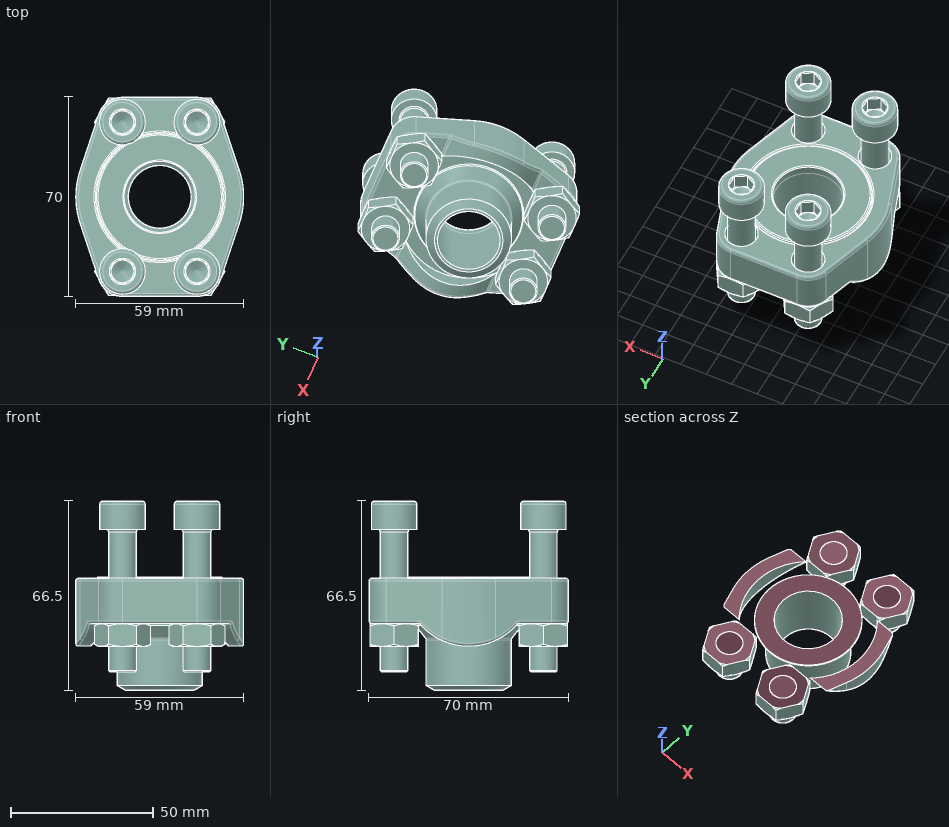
import cadquery as cq
import math

BOLT_SPACING_X = 26.2
BOLT_SPACING_Y = 52.4

FLANGE_LENGTH_Y = 70.0
FLANGE_WIDTH_X = 59.0
FLANGE_TOP_Z = 39.5
PLATE_BOTTOM_Z = 23.45
BULGE_BOTTOM_Z = 15.55
BULGE_DIAMETER = 45.2
FLANGE_EDGE_FILLET = 1.0
COLLAR_RECESS_DIAMETER = 45.2
COLLAR_RECESS_CHAMFER = 0.5
FLANGE_BORE_DIAMETER = 38.5
BULGE_CLEARANCE_DIAMETER = 48.45
BOLT_HOLE_DIAMETER = 11.75

TUBE_TOP_Z = 39.9
COLLAR_DIAMETER = 44.4
COLLAR_HEIGHT = 7.0
COLLAR_CHAMFER = 0.5
HUB_DIAMETER = 37.9
TUBE_DIAMETER = 30.0
SHOULDER_START_Z = 18.1
SHOULDER_END_Z = 22.75
SHOULDER_FILLET = 1.0
TUBE_END_DIAMETER = 24.0
WELD_BEVEL_ANGLE = 30.0
MOUTH_DIAMETER = 25.0
MOUTH_DEPTH = 3.8
MOUTH_CHAMFER = 0.4
TUBE_BORE_DIAMETER = 22.0

SCREW_TOP_Z = 66.5
HEAD_DIAMETER = 16.0
HEAD_HEIGHT = 10.0
HEAD_FILLET = 1.1
NECK_DIAMETER = 10.5
NECK_HEIGHT = 0.9
SHANK_DIAMETER = 9.7
SHANK_LENGTH = 50.0
SHANK_END_CHAMFER = 0.5
SOCKET_ACROSS_FLATS = 8.0
SOCKET_DEPTH = 6.0
SOCKET_CONE_ANGLE = 30.0

NUT_ACROSS_FLATS = 17.0
NUT_HEIGHT = 8.0
NUT_CHAMFER_ANGLE = 30.0

SELECTION_MARGIN = 0.1

HEX_CORNER_RATIO = 1 / math.cos(math.radians(30))
BOLT_CENTRES = [
    (side_x * BOLT_SPACING_X / 2, side_y * BOLT_SPACING_Y / 2)
    for side_x in (-1, 1)
    for side_y in (-1, 1)
]


def disc(diameter, bottom_z, top_z):
    """Solid cylinder on the Z axis between two heights."""
    return cq.Workplane("XY").workplane(offset=bottom_z).circle(diameter / 2).extrude(top_z - bottom_z)


def revolved(points):
    """Solid of revolution about Z from (radius, height) points."""
    return cq.Workplane("XZ").polyline(points).close().revolve(360, (0, 0, 0), (0, 1, 0))


def flange_blank():
    """Plate outline: corner arcs round the bolts, side arcs round the hub, tangent lines between."""
    bolt_x = BOLT_SPACING_X / 2
    bolt_y = BOLT_SPACING_Y / 2
    corner_radius = FLANGE_LENGTH_Y / 2 - bolt_y
    side_radius = FLANGE_WIDTH_X / 2
    bolt_distance = math.hypot(bolt_x, bolt_y)
    bolt_angle = math.atan2(bolt_y, bolt_x)
    normal_angle = bolt_angle - math.acos((side_radius - corner_radius) / bolt_distance)
    corner_mid_angle = (normal_angle + math.pi / 2) / 2

    side_x = side_radius * math.cos(normal_angle)
    side_y = side_radius * math.sin(normal_angle)
    corner_x = bolt_x + corner_radius * math.cos(normal_angle)
    corner_y = bolt_y + corner_radius * math.sin(normal_angle)
    mid_x = bolt_x + corner_radius * math.cos(corner_mid_angle)
    mid_y = bolt_y + corner_radius * math.sin(corner_mid_angle)
    end_y = FLANGE_LENGTH_Y / 2
    return (
        cq.Workplane("XY")
        .workplane(offset=BULGE_BOTTOM_Z)
        .moveTo(side_x, -side_y)
        .threePointArc((side_radius, 0), (side_x, side_y))
        .lineTo(corner_x, corner_y)
        .threePointArc((mid_x, mid_y), (bolt_x, end_y))
        .lineTo(-bolt_x, end_y)
        .threePointArc((-mid_x, mid_y), (-corner_x, corner_y))
        .lineTo(-side_x, side_y)
        .threePointArc((-side_radius, 0), (-side_x, -side_y))
        .lineTo(-corner_x, -corner_y)
        .threePointArc((-mid_x, -mid_y), (-bolt_x, -end_y))
        .lineTo(bolt_x, -end_y)
        .threePointArc((mid_x, -mid_y), (corner_x, -corner_y))
        .close()
        .extrude(FLANGE_TOP_Z - BULGE_BOTTOM_Z)
    )


def flange_envelope():
    """Side profile along X: flat plate with a round bulge below its middle."""
    plate = (
        cq.Workplane("XY")
        .box(2 * FLANGE_WIDTH_X, 2 * FLANGE_LENGTH_Y, FLANGE_TOP_Z - PLATE_BOTTOM_Z, centered=(True, True, False))
        .translate((0, 0, PLATE_BOTTOM_Z))
    )
    bulge = (
        cq.Workplane("YZ")
        .center(0, BULGE_BOTTOM_Z + BULGE_DIAMETER / 2)
        .circle(BULGE_DIAMETER / 2)
        .extrude(FLANGE_WIDTH_X, both=True)
    )
    envelope = plate.union(bulge)
    valley_box = cq.selectors.BoxSelector(
        (-2 * FLANGE_WIDTH_X, -BULGE_DIAMETER / 2, PLATE_BOTTOM_Z - SELECTION_MARGIN),
        (2 * FLANGE_WIDTH_X, BULGE_DIAMETER / 2, PLATE_BOTTOM_Z + SELECTION_MARGIN),
    )
    return envelope.edges("|X").edges(valley_box).fillet(FLANGE_EDGE_FILLET)


def make_flange():
    """Flange with rounded rims, a stepped bore for the tube and four bolt holes."""
    flange = flange_blank().intersect(flange_envelope())
    flange = flange.edges("not (|Z or (|X and (not (<Y or >Y))))").fillet(FLANGE_EDGE_FILLET)
    recess_bottom_z = TUBE_TOP_Z - COLLAR_HEIGHT
    recess_radius = COLLAR_RECESS_DIAMETER / 2
    bore_radius = FLANGE_BORE_DIAMETER / 2
    clearance_radius = BULGE_CLEARANCE_DIAMETER / 2
    bore = revolved([
        (0, 0),
        (clearance_radius, 0),
        (clearance_radius, PLATE_BOTTOM_Z),
        (bore_radius, PLATE_BOTTOM_Z),
        (bore_radius, recess_bottom_z),
        (recess_radius, recess_bottom_z),
        (recess_radius, FLANGE_TOP_Z - COLLAR_RECESS_CHAMFER),
        (recess_radius + COLLAR_RECESS_CHAMFER, FLANGE_TOP_Z),
        (0, FLANGE_TOP_Z),
    ])
    bolt_holes = cq.Workplane("XY").pushPoints(BOLT_CENTRES).circle(BOLT_HOLE_DIAMETER / 2).extrude(FLANGE_TOP_Z)
    return flange.cut(bore).cut(bolt_holes)


def make_tube():
    """Collared tube with a tapering bore and a bevelled weld end."""
    tube_radius = TUBE_DIAMETER / 2
    hub_radius = HUB_DIAMETER / 2
    collar_radius = COLLAR_DIAMETER / 2
    end_radius = TUBE_END_DIAMETER / 2
    mouth_radius = MOUTH_DIAMETER / 2
    bevel_height = (tube_radius - end_radius) * math.tan(math.radians(WELD_BEVEL_ANGLE))
    collar_bottom_z = TUBE_TOP_Z - COLLAR_HEIGHT
    tube = revolved([
        (TUBE_BORE_DIAMETER / 2, 0),
        (end_radius, 0),
        (tube_radius, bevel_height),
        (tube_radius, SHOULDER_START_Z),
        (hub_radius, SHOULDER_END_Z),
        (hub_radius, collar_bottom_z),
        (collar_radius, collar_bottom_z),
        (collar_radius, TUBE_TOP_Z - COLLAR_CHAMFER),
        (collar_radius - COLLAR_CHAMFER, TUBE_TOP_Z),
        (mouth_radius + MOUTH_CHAMFER, TUBE_TOP_Z),
        (mouth_radius, TUBE_TOP_Z - MOUTH_CHAMFER),
        (mouth_radius, TUBE_TOP_Z - MOUTH_DEPTH),
    ])
    foot_box = cq.selectors.BoxSelector(
        (-TUBE_DIAMETER, -TUBE_DIAMETER, SHOULDER_START_Z - SELECTION_MARGIN),
        (TUBE_DIAMETER, TUBE_DIAMETER, SHOULDER_START_Z + SELECTION_MARGIN),
    )
    return tube.edges(foot_box).fillet(SHOULDER_FILLET)


def make_screw(x, y):
    """Cap screw with a flared neck and a hexagon socket that ends in a drill point."""
    head_bottom_z = SCREW_TOP_Z - HEAD_HEIGHT
    tip_z = head_bottom_z - SHANK_LENGTH
    head = disc(HEAD_DIAMETER, head_bottom_z, SCREW_TOP_Z).faces(">Z").edges().fillet(HEAD_FILLET)
    neck = revolved([
        (0, head_bottom_z - NECK_HEIGHT),
        (SHANK_DIAMETER / 2, head_bottom_z - NECK_HEIGHT),
        (NECK_DIAMETER / 2, head_bottom_z),
        (0, head_bottom_z),
    ])
    shank = disc(SHANK_DIAMETER, tip_z, head_bottom_z).faces("<Z").chamfer(SHANK_END_CHAMFER)

    socket_floor_z = SCREW_TOP_Z - SOCKET_DEPTH
    socket_hex = (
        cq.Workplane("XY")
        .workplane(offset=socket_floor_z)
        .transformed(rotate=(0, 0, 30))
        .polygon(6, SOCKET_ACROSS_FLATS * HEX_CORNER_RATIO)
        .extrude(SOCKET_DEPTH)
    )
    cone_radius = SOCKET_ACROSS_FLATS / 2
    cone_depth = cone_radius * math.tan(math.radians(SOCKET_CONE_ANGLE))
    socket_cone = revolved([(0, socket_floor_z), (cone_radius, socket_floor_z), (0, socket_floor_z - cone_depth)])
    lead_in_radius = cone_radius * HEX_CORNER_RATIO
    lead_in_depth = lead_in_radius * math.tan(math.radians(SOCKET_CONE_ANGLE))
    lead_in = revolved([(0, SCREW_TOP_Z), (lead_in_radius, SCREW_TOP_Z), (0, SCREW_TOP_Z - lead_in_depth)])
    screw = head.union(neck).union(shank).cut(socket_hex).cut(socket_cone).cut(lead_in)
    return screw.translate((x, y, 0))


def make_nut(x, y):
    """Hexagon nut with flats facing Y and both rims bevelled by a cone."""
    corner_diameter = NUT_ACROSS_FLATS * HEX_CORNER_RATIO
    top_z = PLATE_BOTTOM_Z
    bottom_z = top_z - NUT_HEIGHT
    flat_radius = NUT_ACROSS_FLATS / 2
    corner_radius = corner_diameter / 2
    bevel_height = (corner_radius - flat_radius) * math.tan(math.radians(NUT_CHAMFER_ANGLE))
    prism = cq.Workplane("XY").workplane(offset=bottom_z).polygon(6, corner_diameter).extrude(NUT_HEIGHT)
    bevels = revolved([
        (0, bottom_z),
        (flat_radius, bottom_z),
        (corner_radius, bottom_z + bevel_height),
        (corner_radius, top_z - bevel_height),
        (flat_radius, top_z),
        (0, top_z),
    ])
    nut = prism.intersect(bevels).cut(disc(SHANK_DIAMETER, bottom_z, top_z))
    return nut.translate((x, y, 0))


flange = make_flange()
tube = make_tube()
screws = [make_screw(x, y) for x, y in BOLT_CENTRES]
nuts = [make_nut(x, y) for x, y in BOLT_CENTRES]

result = cq.Compound.makeCompound(
    [flange.val(), tube.val()]
    + [screw.val() for screw in screws]
    + [nut.val() for nut in nuts]
)